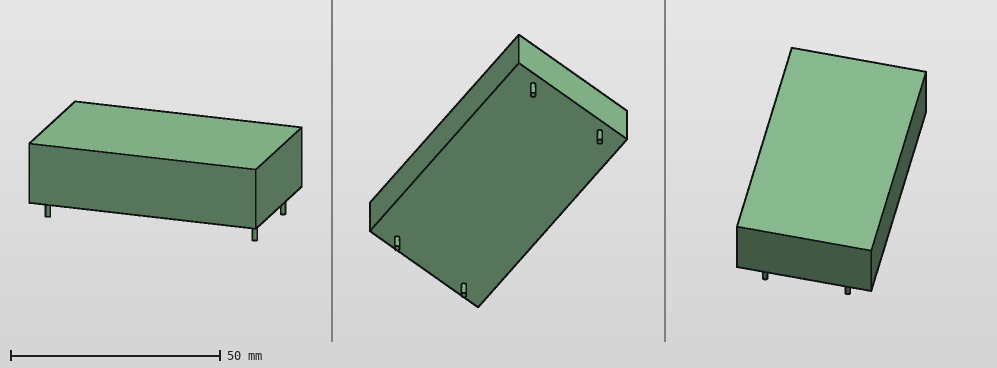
import cadquery as cq

housing_length = 57.5
housing_width = 33.0
housing_height = 15.0

total_height = 20.1
pin_diameter = 1.2
pin_spacing_x = 52.45
pin_spacing_y = 20.3
pin_length = total_height - housing_height


def make_housing():
    """Plain block with its underside on Z = 0."""
    return cq.Workplane("XY").box(
        housing_length, housing_width, housing_height, centered=(True, True, False)
    )


def make_pin(x, y):
    """Round pin that hangs from the underside of the housing."""
    return cq.Workplane("XY").center(x, y).circle(pin_diameter / 2).extrude(-pin_length)


housing = make_housing()

pins = []
for side_x in (-1, 1):
    for side_y in (-1, 1):
        pins.append(make_pin(side_x * pin_spacing_x / 2, side_y * pin_spacing_y / 2))

result = cq.Compound.makeCompound([housing.val(), *[pin.val() for pin in pins]])